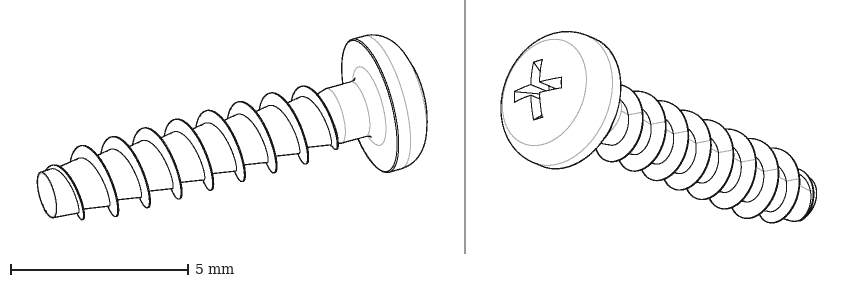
import cadquery as cq
import math


overall_length = 11.47
screw_length = 9.99
crown_loss = 0.008

head_radius = 1.95
head_height = overall_length - screw_length + crown_loss
rim_height = 0.4
rim_chamfer = 0.03
dome_edge_radius = 1.56
dome_edge_height = 1.08

recess_wing_width = 0.32
recess_half_span = 0.87
recess_wing_height = 1.35
recess_depth = 0.8
recess_floor_half_span = 0.4

shank_radius = 0.8
neck_fillet = 0.34
shank_end = 1.1
taper_end = 1.72
taper_end_radius = 0.63
core_radius = 0.65
flare_radius = 0.77
tip_radius = 0.63
tip_cone_height = 0.02

crest_radius = 1.1
crest_width = 0.03
root_width = 0.24
first_crest_angle = math.pi
first_crest_distance = 0.94
first_crest_radius = 0.85
last_crest_distance = 9.75
turns_between = 9
pitch = (last_crest_distance - first_crest_distance) / turns_between
full_height_start = 2.01
full_height_end = 8.6
last_height_share = 0.05
points_per_turn = 24


def make_head():
    shoulder_width = head_radius - dome_edge_radius
    shoulder_height = dome_edge_height - rim_height
    shoulder_radius = (shoulder_width**2 + shoulder_height**2) / (2 * shoulder_width)
    half_sweep = math.asin(shoulder_height / shoulder_radius) / 2
    shoulder_mid = (
        head_radius - shoulder_radius * (1 - math.cos(half_sweep)),
        rim_height + shoulder_radius * math.sin(half_sweep),
    )
    dome_drop = head_height - dome_edge_height
    dome_radius = (dome_edge_radius**2 + dome_drop**2) / (2 * dome_drop)
    dome_mid_x = dome_edge_radius / 2
    dome_mid_y = head_height - dome_radius + math.sqrt(dome_radius**2 - dome_mid_x**2)
    return (
        cq.Workplane("XY")
        .lineTo(head_radius - rim_chamfer, 0)
        .lineTo(head_radius, rim_chamfer)
        .lineTo(head_radius, rim_height)
        .threePointArc(shoulder_mid, (dome_edge_radius, dome_edge_height))
        .threePointArc((dome_mid_x, dome_mid_y), (0, head_height))
        .close()
        .revolve(360, (0, 0, 0), (0, 1, 0))
    )


def make_recess():
    floor_y = head_height - recess_depth
    wing = (
        cq.Workplane("XY")
        .moveTo(-recess_floor_half_span, floor_y)
        .lineTo(recess_floor_half_span, floor_y)
        .lineTo(recess_half_span, recess_wing_height)
        .lineTo(recess_half_span, head_height)
        .lineTo(-recess_half_span, head_height)
        .lineTo(-recess_half_span, recess_wing_height)
        .close()
        .extrude(recess_wing_width / 2, both=True)
    )
    return wing.union(wing.rotate((0, 0, 0), (0, 1, 0), 90))


def make_shank():
    fillet_reach = shank_radius + neck_fillet
    fillet_mid_offset = neck_fillet * math.sqrt(0.5)
    fillet_mid = (fillet_reach - fillet_mid_offset, fillet_mid_offset - neck_fillet)
    return (
        cq.Workplane("XY")
        .lineTo(fillet_reach, 0)
        .threePointArc(fillet_mid, (shank_radius, -neck_fillet))
        .lineTo(shank_radius, -shank_end)
        .lineTo(taper_end_radius, -taper_end)
        .lineTo(0, -taper_end)
        .close()
        .revolve(360, (0, 0, 0), (0, 1, 0))
    )


def make_tip():
    tip_rim = screw_length - tip_cone_height
    return (
        cq.Workplane("XY")
        .moveTo(0, -tip_rim)
        .lineTo(tip_radius, -tip_rim)
        .lineTo(0, -screw_length)
        .close()
        .revolve(360, (0, 0, 0), (0, 1, 0))
    )


def thread_corners(centre):
    """Corners (radius, distance below the head) of the thread section around a centre distance."""
    run_in = (centre - first_crest_distance) / (full_height_start - first_crest_distance)
    run_in = max(0, min(1, run_in))
    run_out = (screw_length - centre) / (screw_length - full_height_end)
    height_share = max(last_height_share, min(1, run_out))
    full_crest = first_crest_radius + (crest_radius - first_crest_radius) * run_in
    crest = core_radius + (full_crest - core_radius) * height_share
    flare = core_radius + (flare_radius - core_radius) * height_share
    half_crest = crest_width / 2
    half_root = half_crest + (root_width - crest_width) / 2 * height_share
    return [
        (core_radius, centre - half_root),
        (crest, centre - half_crest),
        (crest, centre + half_crest),
        (flare, centre + half_root),
    ]


def thread_points(turn):
    """Corners of the thread section in space, a number of turns after the first crest."""
    angle = first_crest_angle + 2 * math.pi * turn
    corners = thread_corners(first_crest_distance + pitch * turn)
    return [cq.Vector(r * math.cos(angle), -d, r * math.sin(angle)) for r, d in corners]


def turn_edges(turn):
    """Helical edges through the four corners over one full turn."""
    sections = [thread_points(turn + step / points_per_turn) for step in range(points_per_turn + 1)]
    return [cq.Edge.makeSpline(list(path)) for path in zip(*sections)]


def make_threaded_core():
    """Core and thread as one solid, bounded by ruled faces between helical edges.

    Below each turn the core tapers from the flare to the upper root of the next turn.
    """
    first_turn = -1
    end_turn = math.ceil((screw_length - first_crest_distance) / pitch) + 1
    turns = [turn_edges(turn) for turn in range(first_turn, end_turn + 1)]
    faces = []
    for edges, next_edges in zip(turns, turns[1:]):
        outline = edges + next_edges[:1]
        for upper, lower in zip(outline, outline[1:]):
            faces.append(cq.Face.makeRuledSurface(upper, lower))

    for turn, edges in ((first_turn, turns[0]), (end_turn, turns[-1])):
        root_end = thread_points(turn + 1)[0]
        axis_start = cq.Vector(0, thread_points(turn)[0].y, 0)
        axis_end = cq.Vector(0, root_end.y, 0)
        faces.append(cq.Face.makeRuledSurface(edges[0], cq.Edge.makeLine(axis_start, axis_end)))
        step = [axis_start] + thread_points(turn) + [root_end, axis_end]
        faces.append(cq.Face.makeFromWires(cq.Wire.makePolygon(step, close=True)))
    core = cq.Workplane(cq.Solid.makeSolid(cq.Shell.makeShell(faces)))

    core_zone = (
        cq.Workplane("XZ", origin=(0, -shank_end, 0))
        .circle(head_radius)
        .extrude(screw_length - tip_cone_height - shank_end)
    )
    return core.intersect(core_zone)


head = make_head().cut(make_recess())
result = head.union(make_shank()).union(make_threaded_core()).union(make_tip())